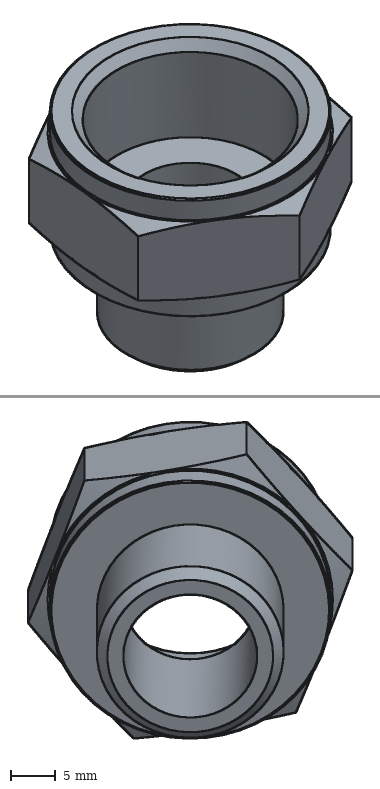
import cadquery as cq
import math

total_height = 30.0
collar_bottom = 13.0
hex_bottom = 16.0
hex_top = 27.0

spigot_diameter = 20.95
spigot_chamfer = 1.2
collar_diameter = 31.5
collar_chamfer = 0.2
hex_corner_diameter = 36.95
hex_flat_width = hex_corner_diameter * math.cos(math.radians(30))
hex_chamfer_angle = 20

bore_diameter = 24.13
bore_depth = 13.5
bore_mouth_diameter = 26.53
through_diameter = 15.0


def cylinder(diameter, bottom, top):
    """Upright cylinder on the Z axis."""
    return cq.Workplane("XY").workplane(offset=bottom).circle(diameter / 2).extrude(top - bottom)


def make_hex():
    """Hexagon with corners on Y, its corners trimmed by a cone at each end."""
    flat_radius = hex_flat_width / 2
    corner_radius = hex_corner_diameter / 2
    drop = (corner_radius - flat_radius) * math.tan(math.radians(hex_chamfer_angle))
    prism = (
        cq.Workplane("XY")
        .workplane(offset=hex_bottom)
        .transformed(rotate=(0, 0, 90))
        .polygon(6, hex_corner_diameter)
        .extrude(hex_top - hex_bottom)
    )
    envelope = (
        cq.Workplane("XZ")
        .moveTo(0, hex_bottom)
        .lineTo(flat_radius, hex_bottom)
        .lineTo(corner_radius, hex_bottom + drop)
        .lineTo(corner_radius, hex_top - drop)
        .lineTo(flat_radius, hex_top)
        .lineTo(0, hex_top)
        .close()
        .revolve(360, (0, 0, 0), (0, 1, 0))
    )
    return prism.intersect(envelope)


def make_bore():
    """Blind bore from the top, with a 45 degree countersunk mouth."""
    mouth_chamfer = (bore_mouth_diameter - bore_diameter) / 2
    return (
        cq.Workplane("XZ")
        .moveTo(0, total_height - bore_depth)
        .lineTo(bore_diameter / 2, total_height - bore_depth)
        .lineTo(bore_diameter / 2, total_height - mouth_chamfer)
        .lineTo(bore_mouth_diameter / 2, total_height)
        .lineTo(0, total_height)
        .close()
        .revolve(360, (0, 0, 0), (0, 1, 0))
    )


spigot = cylinder(spigot_diameter, 0, collar_bottom).faces("<Z").chamfer(spigot_chamfer)
collar = cylinder(collar_diameter, collar_bottom, total_height).faces("<Z or >Z").chamfer(collar_chamfer)
through_hole = cylinder(through_diameter, 0, total_height)

result = spigot.union(collar).union(make_hex()).cut(make_bore()).cut(through_hole)